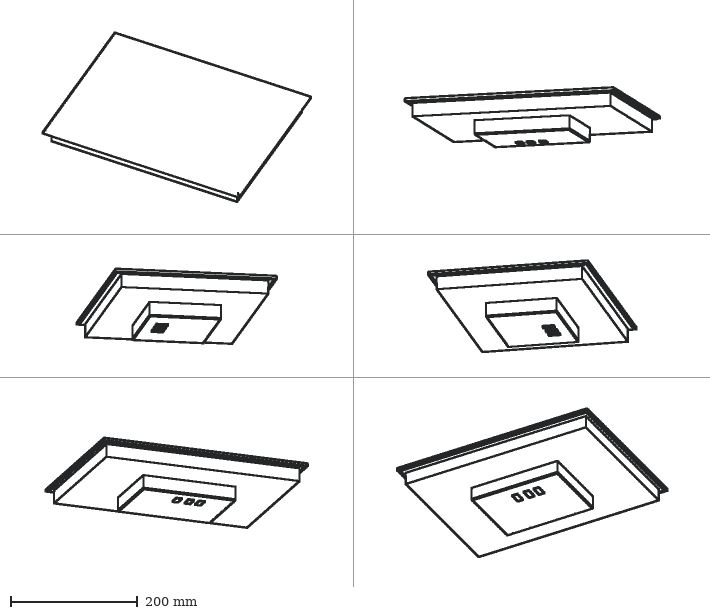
import cadquery as cq

BEZEL_LENGTH = 345.0
BEZEL_WIDTH = 260.0
BEZEL_THICKNESS = 5.5
BEZEL_ROUND = 4.0

GASKET_INSET = 3.8
GASKET_THICKNESS = 1.5

HOUSING_LENGTH = 326.5
HOUSING_WIDTH = 236.0
HOUSING_BOTTOM = -28.3

BOX_LENGTH = 156.0
BOX_WIDTH = 115.0
BOX_BOTTOM = -46.5
COVER_STRAIGHT_HEIGHT = 2.8
COVER_BOTTOM = -51.8
COVER_BEVEL_INSET = 0.85

CONNECTOR_BOTTOM = -53.0
CONNECTOR_LENGTH = 9.3
CONNECTOR_WIDTH = 18.3
CONNECTOR_CENTERS_X = (-10.5, 10.5, 28.3)
CONNECTOR_CENTER_Y = -29.0

SHEET_MARGIN = 5.2
SHEET_LENGTH = BEZEL_LENGTH - 2 * SHEET_MARGIN
SHEET_WIDTH = BEZEL_WIDTH - 2 * SHEET_MARGIN
SHEET_THICKNESS = 1.7
MIDDLE_FIELD_WIDTH = 189.8
SCREEN_LENGTH = 216.0
SCREEN_WIDTH = 162.0


def block(length, width, top, bottom, center=(0, 0)):
    """Rectangular block between two Z levels."""
    return (
        cq.Workplane("XY", origin=(*center, bottom))
        .rect(length, width)
        .extrude(top - bottom)
    )


def make_bezel():
    bezel = block(BEZEL_LENGTH, BEZEL_WIDTH, 0, -BEZEL_THICKNESS)
    return bezel.faces(">Z").edges().fillet(BEZEL_ROUND)


def make_gasket():
    return block(
        BEZEL_LENGTH - 2 * GASKET_INSET,
        BEZEL_WIDTH - 2 * GASKET_INSET,
        -BEZEL_THICKNESS,
        -BEZEL_THICKNESS - GASKET_THICKNESS,
    )


def make_housing():
    return block(HOUSING_LENGTH, HOUSING_WIDTH, -BEZEL_THICKNESS, HOUSING_BOTTOM)


def make_rear_box():
    return block(BOX_LENGTH, BOX_WIDTH, HOUSING_BOTTOM, BOX_BOTTOM)


def make_cover():
    """Cover plate with a straight rim and a bevel all round its lower edge."""
    bevel_height = BOX_BOTTOM - COVER_STRAIGHT_HEIGHT - COVER_BOTTOM
    cover = block(BOX_LENGTH, BOX_WIDTH, BOX_BOTTOM, COVER_BOTTOM)
    return cover.faces("<Z").chamfer(bevel_height, COVER_BEVEL_INSET)


def make_connectors():
    """Row of equal connector blocks along X."""
    return [
        block(
            CONNECTOR_LENGTH,
            CONNECTOR_WIDTH,
            COVER_BOTTOM,
            CONNECTOR_BOTTOM,
            (center_x, CONNECTOR_CENTER_Y),
        )
        for center_x in CONNECTOR_CENTERS_X
    ]


def make_flush_fields():
    """Sheet, middle field and screen, all flush with the front face."""
    fields = (
        (SHEET_LENGTH, SHEET_WIDTH),
        (SHEET_LENGTH, MIDDLE_FIELD_WIDTH),
        (SCREEN_LENGTH, SCREEN_WIDTH),
    )
    return [block(length, width, 0, -SHEET_THICKNESS) for length, width in fields]


pieces = [
    make_gasket(),
    make_housing(),
    make_rear_box(),
    make_cover(),
    *make_connectors(),
    *make_flush_fields(),
]
result = make_bezel()
for piece in pieces:
    result = result.union(piece, clean=False)